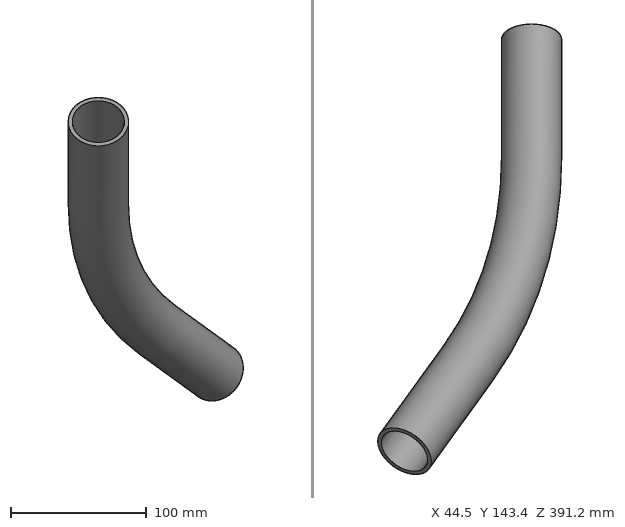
import cadquery as cq
import math

overall_height = 391.2
outer_diameter = 44.5
bore_diameter = 38.5
straight_length = 101.7
bend_angle = 30.0

outer_radius = outer_diameter / 2
sin_bend = math.sin(math.radians(bend_angle))
cos_bend = math.cos(math.radians(bend_angle))
bend_height = overall_height - straight_length * (1 + cos_bend) - outer_radius * sin_bend
bend_radius = bend_height / sin_bend


def straight_tube():
    """Upright tube standing on the XY plane, centred on Z."""
    return (
        cq.Workplane("XY")
        .circle(outer_radius)
        .circle(bore_diameter / 2)
        .extrude(straight_length)
    )


def bent_tube():
    """Curved tube leaving the origin downward and turning toward +Y."""
    return (
        cq.Workplane("XY")
        .circle(outer_radius)
        .circle(bore_diameter / 2)
        .revolve(bend_angle, (0, bend_radius, 0), (1, bend_radius, 0))
    )


upper_tube = straight_tube()
lower_tube = (
    straight_tube()
    .translate((0, 0, -straight_length))
    .rotate((0, bend_radius, 0), (1, bend_radius, 0), bend_angle)
)

result = upper_tube.union(bent_tube()).union(lower_tube)